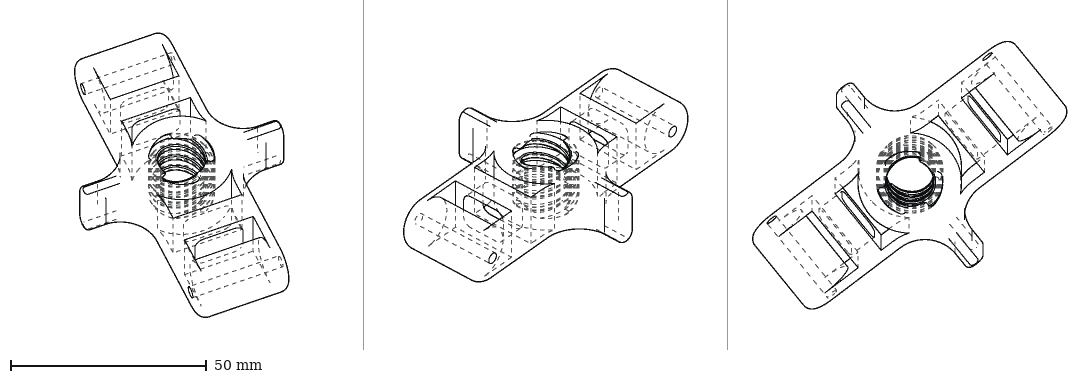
import cadquery as cq
import math

LENGTH = 85.0
BODY_WIDTH = 25.0
HEIGHT = 15.0
TAB_SPAN = 55.0
END_RADIUS = HEIGHT / 2
PIN_X = LENGTH / 2 - END_RADIUS
PIN_HOLE_DIAMETER = 3.0
EDGE_FILLET = 2.5

TAB_WIDTH = 5.5
TAB_END_FILLET = 1.0
FLARE_RADIUS = 10.0
FLARE_CENTRE_X = TAB_WIDTH / 2 + FLARE_RADIUS
FLARE_CENTRE_Y = BODY_WIDTH / 2 + FLARE_RADIUS
FLARE_END_GAP = 0.25

WALL = 3.0
HUB_DIAMETER = 26.5
CROSSBAR_WIDTH = 7.5
CROSSBAR_X = 20.5
WINDOW_WIDTH = 13.4
WINDOW_HEIGHT = 10.0
WINDOW_CORNER = 2.5

BORE_RADIUS = 6.2
LIP_RADIUS = 6.6
SHOULDER_RADIUS = 7.7
CORNER_RADIUS = 8.2
ROOT_RADIUS = 8.4
MOUTH_ANGLE = 42
FLANK_ANGLE = 37
CORNER_ANGLE = 34
ROOT_ANGLE = 24
THREAD_STARTS = 3
THREAD_LEAD = 13.35
THREAD_TOP_ANGLE = 95.5

SIDES = (-1, 1)


def upright_prism(outline):
    """Extrude an XY outline through the full height, centred on Z = 0."""
    return outline.extrude(HEIGHT / 2, both=True)


def end_profile(length_along_y):
    """Bar with fully rounded ends, lying along X."""
    return (
        cq.Workplane("XZ")
        .slot2D(LENGTH, HEIGHT)
        .extrude(length_along_y)
        .translate((0, length_along_y / 2, 0))
    )


def flare(side, inset, end_angle):
    """Concave-sided web towards a tab, its outline moved inwards by `inset`.

    Each arc starts tangent to the body's long side and turns through `end_angle`.
    """
    radius = FLARE_RADIUS + inset

    def arc_point(angle):
        return (
            FLARE_CENTRE_X - radius * math.sin(angle),
            side * (FLARE_CENTRE_Y - radius * math.cos(angle)),
        )

    start_x, start_y = arc_point(0)
    mid_x, mid_y = arc_point(end_angle / 2)
    end_x, end_y = arc_point(end_angle)
    outline = (
        cq.Workplane("XY")
        .moveTo(-start_x, 0)
        .lineTo(start_x, 0)
        .lineTo(start_x, start_y)
        .threePointArc((mid_x, mid_y), (end_x, end_y))
        .lineTo(-end_x, end_y)
        .threePointArc((-mid_x, mid_y), (-start_x, start_y))
        .close()
    )
    return upright_prism(outline)


def make_body():
    """Bar and flares, with the outlines of both long sides filleted."""
    body = end_profile(BODY_WIDTH)
    end_angle = math.acos(FLARE_END_GAP / FLARE_RADIUS)
    for side in SIDES:
        body = body.union(flare(side, 0, end_angle))
    return body.edges("%CIRCLE").fillet(EDGE_FILLET)


def make_tabs():
    crown_z = HEIGHT / 2 - EDGE_FILLET
    bar = (
        cq.Workplane("XZ")
        .slot2D(2 * crown_z + TAB_WIDTH, TAB_WIDTH, 90)
        .extrude(TAB_SPAN / 2, both=True)
        .faces("<Y or >Y")
        .edges()
        .fillet(TAB_END_FILLET)
    )
    return bar.intersect(cq.Workplane("XY").box(LENGTH, TAB_SPAN, HEIGHT))


def make_pocket():
    """Through-openings between the walls, leaving the hub and the windowed crossbars."""
    inner_width = BODY_WIDTH - 2 * WALL
    roller_edge_x = PIN_X - END_RADIUS
    pocket = (
        cq.Workplane("XZ")
        .moveTo(-PIN_X, -HEIGHT / 2)
        .lineTo(PIN_X, -HEIGHT / 2)
        .threePointArc((roller_edge_x, 0), (PIN_X, HEIGHT / 2))
        .lineTo(-PIN_X, HEIGHT / 2)
        .threePointArc((-roller_edge_x, 0), (-PIN_X, -HEIGHT / 2))
        .close()
        .extrude(inner_width)
        .translate((0, inner_width / 2, 0))
    )
    end_angle = math.atan2(FLARE_CENTRE_X, FLARE_CENTRE_Y)
    for side in SIDES:
        pocket = pocket.union(flare(side, WALL, end_angle))
    pocket = pocket.cut(upright_prism(cq.Workplane("XY").circle(HUB_DIAMETER / 2)))
    crossbar = cq.Workplane("XY").box(CROSSBAR_WIDTH, BODY_WIDTH, HEIGHT)
    window = (
        cq.Workplane("XY")
        .box(CROSSBAR_WIDTH, WINDOW_WIDTH, WINDOW_HEIGHT)
        .edges("|X")
        .fillet(WINDOW_CORNER)
    )
    crossbar = crossbar.cut(window)
    for side in SIDES:
        pocket = pocket.cut(crossbar.translate((side * CROSSBAR_X, 0, 0)))
    return pocket


def make_pin_holes():
    return (
        cq.Workplane("XZ")
        .pushPoints([(side * PIN_X, 0) for side in SIDES])
        .circle(PIN_HOLE_DIAMETER / 2)
        .extrude(BODY_WIDTH)
        .translate((0, BODY_WIDTH / 2, 0))
    )


def make_threaded_bore():
    """Bore and thread grooves together, as one lobed section twisted along Z."""

    def polar(radius, degrees):
        angle = math.radians(degrees)
        return (radius * math.cos(angle), radius * math.sin(angle))

    flank = [
        (BORE_RADIUS, MOUTH_ANGLE),
        (LIP_RADIUS, FLANK_ANGLE),
        (SHOULDER_RADIUS, FLANK_ANGLE),
        (CORNER_RADIUS, CORNER_ANGLE),
        (ROOT_RADIUS, ROOT_ANGLE),
    ]
    start_angle = 360 / THREAD_STARTS
    section = cq.Workplane("XY").moveTo(*polar(BORE_RADIUS, THREAD_TOP_ANGLE - MOUTH_ANGLE))
    for start in range(THREAD_STARTS):
        lobe = THREAD_TOP_ANGLE + start * start_angle
        mouth, lip, shoulder, corner, root = [polar(r, lobe - angle) for r, angle in flank]
        section = section.lineTo(*lip).lineTo(*shoulder).threePointArc(corner, root)
        mouth, lip, shoulder, corner, root = [polar(r, lobe + angle) for r, angle in flank]
        section = (
            section.threePointArc(polar(ROOT_RADIUS, lobe), root)
            .threePointArc(corner, shoulder)
            .lineTo(*lip)
            .lineTo(*mouth)
            .threePointArc(
                polar(BORE_RADIUS, lobe + start_angle / 2),
                polar(BORE_RADIUS, lobe + start_angle - MOUTH_ANGLE),
            )
        )
    twist = 360 * HEIGHT / THREAD_LEAD
    return section.close().twistExtrude(-HEIGHT, twist).translate((0, 0, HEIGHT / 2))


frame = make_body().union(make_tabs())
result = frame.cut(make_pocket()).cut(make_pin_holes()).cut(make_threaded_bore())